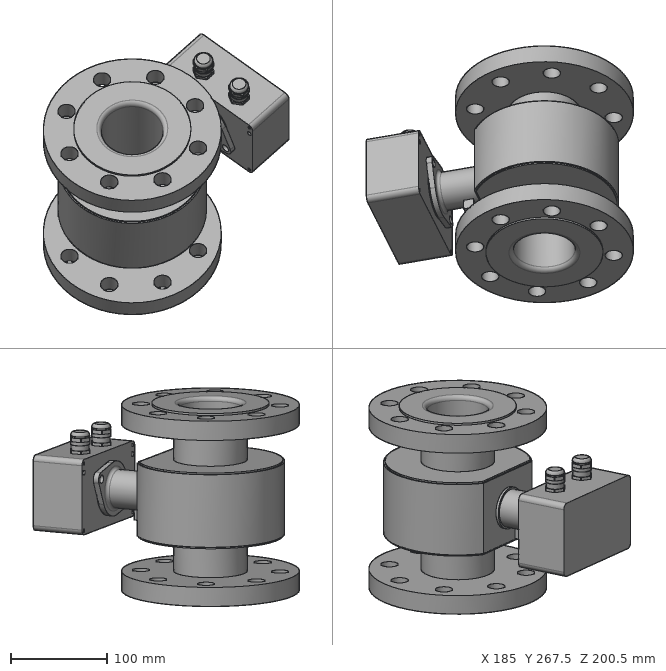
import cadquery as cq
import math

overall_height = 200.5
flange_diameter = 185.0
overall_depth = 267.5
box_back = overall_depth - flange_diameter / 2

flange_thickness = 20.3
raised_face_diameter = 122.0
raised_face_height = 2.1
bolt_count = 8
bolt_hole_diameter = 18.0
bolt_circle_radius = 72.5
flange_outer_z = overall_height / 2 - raised_face_height
flange_inner_z = flange_outer_z - flange_thickness

pipe_diameter = 76.8
bore_diameter = 64.2
bore_mouth_radius = 4.8

drum_radius = 77.3
drum_flat = 62.9
drum_height = 80.2
cover_inset = 1.5
cover_height = 1.5

box_width = 124.7
box_height = 80.0
box_depth = 56.7
box_corner_radius = 6.0
box_front = box_back - box_depth
corner_screw_diameter = 3.2
corner_screw_x = 57.5
corner_screw_z = 35.5
lid_screw_diameter = 4.8
lid_screw_z = 26.0
screw_hole_depth = 5.4

gasket_diameter = 54.8
gasket_thickness = 1.3
plate_back = box_front - gasket_thickness

plate_thickness = 6.2
plate_radius = 29.0
plate_front = plate_back - plate_thickness
lug_radius = 7.5
lug_distance = 34.5
lug_hole_diameter = 8.5
lug_tilt = 26.0
neck_diameter = 40.5
neck_fillet = 3.5
collar_diameter = 44.5
collar_length = 3.0

plug_width = 10.5
plug_y = 80.8
plug_bottom_z = -30.5

gland_spacing = 49.8
gland_y = 138.8
gland_hex_flats = 19.8
gland_hex_corner_diameter = 22.2
gland_wide_diameter = 20.0
gland_narrow_diameter = 18.7
gland_tip_diameter = 14.2
base_hex_top = 3.2
neck_top = 8.8
sleeve_top = 12.5
cap_hex_top = 16.5
groove_top = 18.2
dome_top = 22.5


def cylinder_z(diameter, bottom, top):
    return cq.Workplane("XY").workplane(offset=bottom).circle(diameter / 2).extrude(top - bottom)


def cylinder_y(diameter, front, back, x=0.0, z=0.0):
    axis = cq.Vector(0, 1, 0)
    return cq.Workplane(cq.Solid.makeCylinder(diameter / 2, back - front, cq.Vector(x, front, z), axis))


def make_flange():
    """Upper flange with its raised face and bolt holes straddling the axes."""
    flange = cylinder_z(flange_diameter, flange_inner_z, flange_outer_z)
    holes = (
        cq.Workplane("XY")
        .workplane(offset=flange_inner_z)
        .polarArray(bolt_circle_radius, 180 / bolt_count, 360, bolt_count)
        .circle(bolt_hole_diameter / 2)
        .extrude(flange_thickness)
    )
    raised_face = cylinder_z(raised_face_diameter, flange_outer_z, overall_height / 2)
    return flange.cut(holes).union(raised_face)


def flattened_disc(radius, flat, height):
    """Disc centred on the origin, cut off by a flat on the +Y side."""
    half_chord = math.sqrt(radius**2 - flat**2)
    return (
        cq.Workplane("XY")
        .workplane(offset=-height / 2)
        .moveTo(-half_chord, flat)
        .threePointArc((0, -radius), (half_chord, flat))
        .close()
        .extrude(height)
    )


def make_coil_housing():
    drum = flattened_disc(drum_radius, drum_flat, drum_height - 2 * cover_height)
    covers = flattened_disc(drum_radius - cover_inset, drum_flat - cover_inset, drum_height)
    return drum.union(covers)


def make_mounting_plate():
    """Oval plate: a round centre joined by tangent lines to two lugs, tilted about Y."""
    tangent_angle = math.acos((plate_radius - lug_radius) / lug_distance)
    tangent_x = math.cos(tangent_angle)
    tangent_z = math.sin(tangent_angle)
    centre_x = plate_radius * tangent_x
    centre_z = plate_radius * tangent_z
    lug_x = lug_distance + lug_radius * tangent_x
    lug_z = lug_radius * tangent_z
    lug_tip = lug_distance + lug_radius
    plate = (
        cq.Workplane("XZ", origin=(0, plate_back, 0))
        .moveTo(-centre_x, centre_z)
        .threePointArc((0, plate_radius), (centre_x, centre_z))
        .lineTo(lug_x, lug_z)
        .threePointArc((lug_tip, 0), (lug_x, -lug_z))
        .lineTo(centre_x, -centre_z)
        .threePointArc((0, -plate_radius), (-centre_x, -centre_z))
        .lineTo(-lug_x, -lug_z)
        .threePointArc((-lug_tip, 0), (-lug_x, lug_z))
        .close()
        .extrude(plate_thickness)
    )
    for lug_side in (-1, 1):
        plate = plate.cut(cylinder_y(lug_hole_diameter, plate_front, plate_back, x=lug_side * lug_distance))
    return plate.rotate((0, 0, 0), (0, 1, 0), lug_tilt)


def make_neck():
    """Neck, flared into the mounting plate, with a collar where it meets the drum."""
    neck_radius = neck_diameter / 2
    flare_start = plate_front - neck_fillet
    flare_mid = neck_fillet * math.sqrt(0.5)
    neck = (
        cq.Workplane("XY")
        .moveTo(0, 0)
        .lineTo(neck_radius, 0)
        .lineTo(neck_radius, flare_start)
        .threePointArc(
            (neck_radius + neck_fillet - flare_mid, flare_start + flare_mid),
            (neck_radius + neck_fillet, plate_front),
        )
        .lineTo(0, plate_front)
        .close()
        .revolve(360, (0, 0, 0), (0, 1, 0))
    )
    collar = cylinder_y(collar_diameter, 0, drum_flat + collar_length)
    return neck.union(collar)


def make_plug():
    return (
        cq.Workplane("XY", origin=(0, plug_y, plug_bottom_z))
        .rect(plug_width, plug_width)
        .extrude(-plug_bottom_z)
    )


def make_bore():
    """Through bore, rounded outwards at both mouths."""
    radius = bore_diameter / 2
    end_z = overall_height / 2
    mouth_z = end_z - bore_mouth_radius
    mouth_radius = radius + bore_mouth_radius
    arc_mid = bore_mouth_radius * (1 - math.sqrt(0.5))
    return (
        cq.Workplane("XZ")
        .moveTo(0, -end_z)
        .lineTo(mouth_radius, -end_z)
        .threePointArc((radius + arc_mid, -end_z + arc_mid), (radius, -mouth_z))
        .lineTo(radius, mouth_z)
        .threePointArc((radius + arc_mid, end_z - arc_mid), (mouth_radius, end_z))
        .lineTo(0, end_z)
        .close()
        .revolve(360, (0, 0, 0), (0, 1, 0))
    )


def make_flow_sensor():
    upper_flange = make_flange()
    return (
        cylinder_z(pipe_diameter, -flange_inner_z, flange_inner_z)
        .union(upper_flange)
        .union(upper_flange.mirror("XY"))
        .union(make_coil_housing())
        .union(make_neck())
        .union(make_plug())
        .union(make_mounting_plate())
        .cut(make_bore())
    )


def make_gasket():
    return cylinder_y(gasket_diameter, plate_back, box_front)


def make_gland_dome():
    """Domed gland end, standing on the XY plane: an arc, vertical at its foot, up to a flat tip."""
    foot_radius = gland_wide_diameter / 2
    tip_radius = gland_tip_diameter / 2
    height = dome_top - groove_top
    inset = foot_radius - tip_radius
    arc_radius = (inset**2 + height**2) / (2 * inset)
    half_angle = math.asin(height / arc_radius) / 2
    arc_mid = (
        foot_radius - arc_radius * (1 - math.cos(half_angle)),
        arc_radius * math.sin(half_angle),
    )
    return (
        cq.Workplane("XZ")
        .moveTo(0, 0)
        .lineTo(foot_radius, 0)
        .threePointArc(arc_mid, (tip_radius, height))
        .lineTo(0, height)
        .close()
        .revolve(360, (0, 0, 0), (0, 1, 0))
    )


def make_gland(x):
    """Cable gland on the box top: hex base, stepped sleeve, hex cap and domed end."""
    top = box_height / 2

    def hexagon(bottom, upper):
        """Hexagon with flats facing X, its sharp corners turned down to a round."""
        prism = (
            cq.Workplane("XY")
            .workplane(offset=top + bottom)
            .polygon(6, gland_hex_flats, circumscribed=True)
            .extrude(upper - bottom)
        )
        return prism.intersect(cylinder_z(gland_hex_corner_diameter, top + bottom, top + upper))

    return (
        cylinder_z(gland_narrow_diameter, top, top + groove_top)
        .union(hexagon(0, base_hex_top))
        .union(cylinder_z(gland_wide_diameter, top + neck_top, top + sleeve_top))
        .union(hexagon(sleeve_top, cap_hex_top))
        .union(make_gland_dome().translate((0, 0, top + groove_top)))
        .translate((x, gland_y, 0))
    )


def make_terminal_box():
    box = (
        cq.Workplane("XY", origin=(0, box_front + box_depth / 2, 0))
        .box(box_width, box_depth, box_height)
        .edges("|Y")
        .fillet(box_corner_radius)
    )
    hole_back = box_front + screw_hole_depth
    for side in (-1, 1):
        x = side * corner_screw_x
        for z in (-corner_screw_z, corner_screw_z):
            box = box.cut(cylinder_y(corner_screw_diameter, box_front, hole_back, x, z))
        box = box.cut(cylinder_y(lid_screw_diameter, box_front, hole_back, x, lid_screw_z))
        box = box.union(make_gland(side * gland_spacing / 2))
    return box


flow_sensor = make_flow_sensor()
gasket = make_gasket()
terminal_box = make_terminal_box()

result = cq.Compound.makeCompound([flow_sensor.val(), gasket.val(), terminal_box.val()])